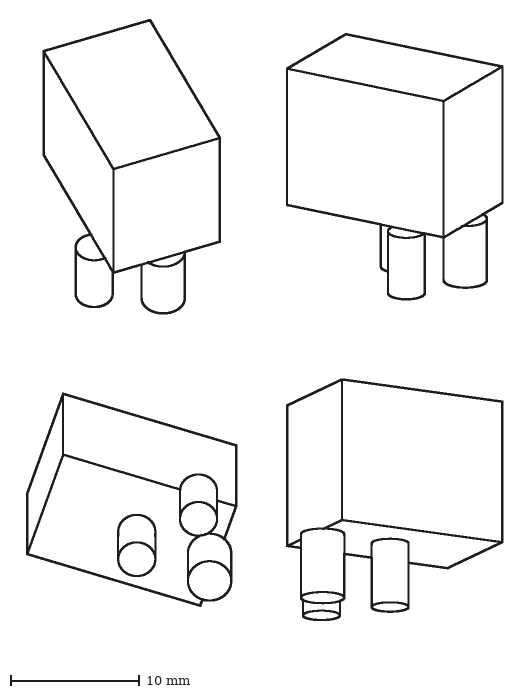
import cadquery as cq

HOUSING_LENGTH = 14.2
HOUSING_DEPTH = 9.0
TOTAL_HEIGHT = 16.48
PIN_LENGTH = 5.13
HOUSING_HEIGHT = TOTAL_HEIGHT - PIN_LENGTH

SMALL_PIN_DIAMETER = 2.9
LARGE_PIN_DIAMETER = 3.4
PIN_ROW_Y = HOUSING_DEPTH / 2
INNER_PIN_X = 7.51
FRONT_PIN_X = 11.01
FRONT_PIN_OVERHANG = 1.75
END_PIN_OVERHANG = 0.99

FRONT_PIN_Y = SMALL_PIN_DIAMETER / 2 - FRONT_PIN_OVERHANG
END_PIN_X = HOUSING_LENGTH + END_PIN_OVERHANG - LARGE_PIN_DIAMETER / 2

SMALL_PIN_CENTRES = [
    (INNER_PIN_X, PIN_ROW_Y),
    (FRONT_PIN_X, FRONT_PIN_Y),
]


def make_housing():
    """Plain rectangular block standing on the plane z = 0."""
    return cq.Workplane("XY").box(
        HOUSING_LENGTH, HOUSING_DEPTH, HOUSING_HEIGHT, centered=False
    )


def make_pin(diameter, centre):
    """Round pin whose top face touches the plane of the housing underside."""
    return cq.Workplane("XY").center(*centre).circle(diameter / 2).extrude(-PIN_LENGTH)


housing = make_housing()
small_pins = [make_pin(SMALL_PIN_DIAMETER, centre) for centre in SMALL_PIN_CENTRES]
large_pin = make_pin(LARGE_PIN_DIAMETER, (END_PIN_X, PIN_ROW_Y))

result = cq.Compound.makeCompound(
    [housing.val(), *[pin.val() for pin in small_pins], large_pin.val()]
)